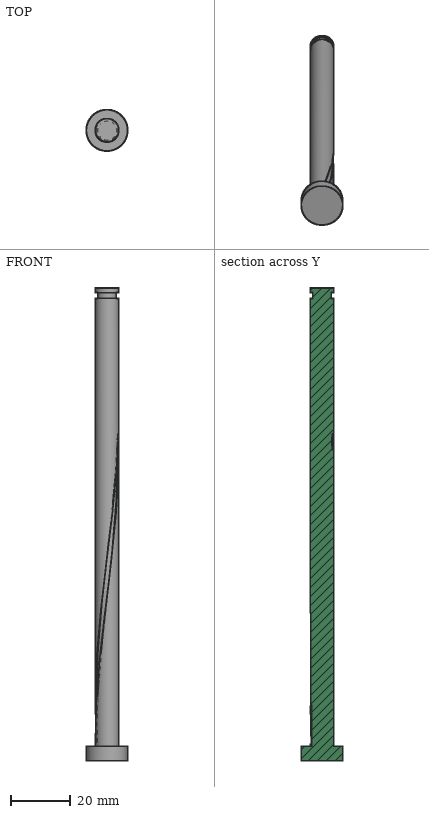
import cadquery as cq

total_length = 160.0
shaft_diameter = 8.0
head_diameter = 14.0
head_height = 5.0

tip_collar_length = 1.6
neck_length = 2.0
neck_diameter = 6.4

helix_pitch = 200.0
groove_width = 1.6
groove_depth = 0.5
groove_start_angle = 167.0
groove_length = 105.6


def cylinder(diameter, bottom, top):
    """A round disc or rod on the Z axis between two heights."""
    return cq.Workplane("XY").workplane(offset=bottom).circle(diameter / 2).extrude(top - bottom)


def helical_groove_cutter():
    """A rectangular section across the shaft surface, twisted up along the shaft axis."""
    outer_overlap = groove_depth
    radial_size = groove_depth + outer_overlap
    twist = 360.0 * groove_length / helix_pitch
    return (
        cq.Workplane("XY")
        .moveTo(shaft_diameter / 2, 0)
        .rect(radial_size, groove_width)
        .twistExtrude(groove_length, twist)
        .rotate((0, 0, 0), (0, 0, 1), groove_start_angle)
        .translate((0, 0, head_height))
    )


neck_top = total_length - tip_collar_length
neck_bottom = neck_top - neck_length

head = cylinder(head_diameter, 0, head_height)
shaft = cylinder(shaft_diameter, head_height, neck_bottom).cut(helical_groove_cutter())
neck = cylinder(neck_diameter, neck_bottom, neck_top)
tip_collar = cylinder(shaft_diameter, neck_top, total_length)

result = head.union(shaft).union(neck).union(tip_collar)